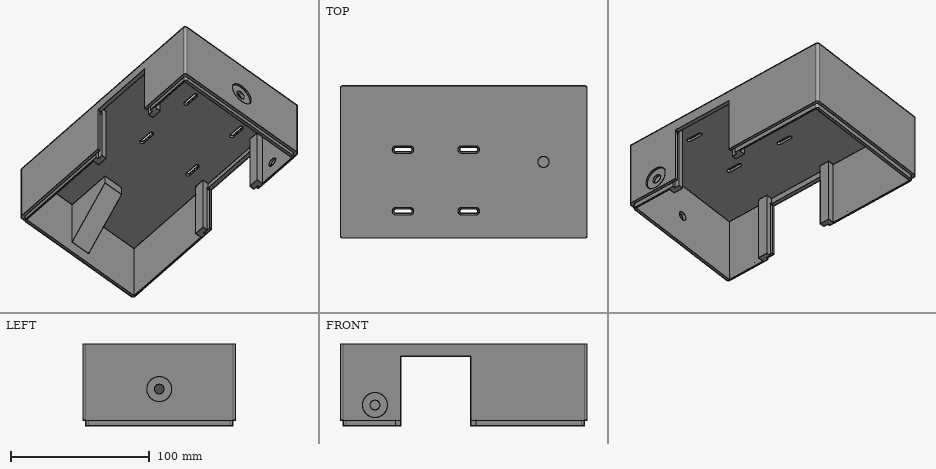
import cadquery as cq

LENGTH = 178.0
WIDTH = 110.06
HEIGHT = 59.0
WALL = 4.0
SIDE_WALL = 3.0
CORNER_RADIUS = 2.0

LIP_HEIGHT = 4.0
LIP_INSET = 2.0

NOTCH_LEFT = 43.7
NOTCH_WIDTH = 50.3
NOTCH_HEIGHT = 50.0
GROOVE_WIDTH = 2.0
GROOVE_DEPTH = 4.0
RAIL_THICKNESS = 4.0
RAIL_WIDTH = 2 * GROOVE_DEPTH

WALL_HOLE_DIAMETER = 7.0
RECESS_DIAMETER = 18.0
RECESS_DEPTH = 1.3
FRONT_HOLE_X = 25.0
FRONT_HOLE_Z = 15.0
END_HOLE_Z = 26.5

SLOT_TRAVEL = 10.0
SLOT_WIDTH = 3.0
COUNTERSINK = 1.25
SLOT_X = (45.2, 92.6)
SLOT_Y = (-35.5, 8.9)

BLIND_DIAMETER = 8.0
BLIND_DEPTH = 8.0
BLIND_X = 146.5
BRACKET_WIDTH = BLIND_DIAMETER + 2 * WALL


def box(x_range, y_range, z_range):
    """Box between the given pairs of limits."""
    size = [high - low for low, high in (x_range, y_range, z_range)]
    corner = (x_range[0], y_range[0], z_range[0])
    return cq.Workplane("XY").box(*size, centered=False).translate(corner)


def rounded_block(inset, bottom, top, radius):
    """Block following the outline of the cover, set in by the given amount."""
    block = box(
        (inset, LENGTH - inset),
        (inset - WIDTH / 2, WIDTH / 2 - inset),
        (bottom, top),
    )
    return block.edges("|Z").fillet(radius)


def shell():
    """Hollow cover with its locating lip."""
    body = rounded_block(0, LIP_HEIGHT, HEIGHT, CORNER_RADIUS)
    lip = rounded_block(LIP_INSET, 0, HEIGHT - WALL, CORNER_RADIUS)
    cavity = box(
        (WALL, LENGTH - WALL),
        (SIDE_WALL - WIDTH / 2, WIDTH / 2 - SIDE_WALL),
        (0, HEIGHT - WALL),
    )
    return body.union(lip).cut(cavity)


def rails():
    """Four rails inside the walls, one on each side of each opening."""
    wall_face = WIDTH / 2 - SIDE_WALL
    rail_face = WIDTH / 2 - LIP_INSET - GROOVE_WIDTH - RAIL_THICKNESS
    notch_right = NOTCH_LEFT + NOTCH_WIDTH
    y_ranges = (
        (-wall_face, -rail_face),
        (rail_face, wall_face),
    )
    solid = cq.Workplane("XY")
    for y_range in y_ranges:
        for left in (NOTCH_LEFT - RAIL_WIDTH, notch_right):
            solid = solid.union(box((left, left + RAIL_WIDTH), y_range, (0, HEIGHT - WALL)))
    return solid


def notch_and_grooves():
    """Opening through both walls and the panel grooves in its sides."""
    right = NOTCH_LEFT + NOTCH_WIDTH
    cutter = box((NOTCH_LEFT, right), (-WIDTH / 2, WIDTH / 2), (0, NOTCH_HEIGHT))
    groove_start = WIDTH / 2 - LIP_INSET
    for y_range in (
        (-groove_start, GROOVE_WIDTH - groove_start),
        (groove_start - GROOVE_WIDTH, groove_start),
    ):
        groove = box((NOTCH_LEFT - GROOVE_DEPTH, right + GROOVE_DEPTH), y_range, (0, NOTCH_HEIGHT))
        cutter = cutter.union(groove)
    return cutter


def recessed_hole(center, direction):
    """Cutter for a wall hole and its recess, going inward from the outer face."""
    start = cq.Vector(*center)
    inward = cq.Vector(*direction)
    hole = cq.Solid.makeCylinder(WALL_HOLE_DIAMETER / 2, WALL, start, inward)
    recess = cq.Solid.makeCylinder(RECESS_DIAMETER / 2, RECESS_DEPTH, start, inward)
    return cq.Workplane(hole.fuse(recess))


def countersunk_slot(x, y):
    """Cutter for one slot with 45 degree sides at the top."""
    top = cq.Workplane("XY").workplane(offset=HEIGHT).center(x, y)
    through = top.slot2D(SLOT_TRAVEL + SLOT_WIDTH, SLOT_WIDTH).extrude(-WALL)
    wide = SLOT_WIDTH + 2 * COUNTERSINK
    flare = top.slot2D(SLOT_TRAVEL + wide, wide).extrude(-COUNTERSINK, taper=45)
    return through.union(flare)


def bracket():
    """Wedge under the top plate that holds the blind hole."""
    left = BLIND_X - BRACKET_WIDTH / 2
    right = LENGTH - WALL
    plate_bottom = HEIGHT - WALL
    block_bottom = HEIGHT - BLIND_DEPTH - WALL
    return (
        cq.Workplane("XZ", origin=(0, BRACKET_WIDTH / 2, 0))
        .moveTo(left, plate_bottom)
        .lineTo(left, block_bottom)
        .lineTo(right, block_bottom - (right - left))
        .lineTo(right, plate_bottom)
        .close()
        .extrude(BRACKET_WIDTH)
    )


def blind_hole():
    """Cutter for the flat-bottomed hole in the top."""
    top = cq.Workplane("XY").workplane(offset=HEIGHT).center(BLIND_X, 0)
    return top.circle(BLIND_DIAMETER / 2).extrude(-BLIND_DEPTH)


result = shell().union(rails()).union(bracket())
result = result.cut(notch_and_grooves()).cut(blind_hole())
result = result.cut(recessed_hole((FRONT_HOLE_X, -WIDTH / 2, FRONT_HOLE_Z), (0, 1, 0)))
result = result.cut(recessed_hole((0, 0, END_HOLE_Z), (1, 0, 0)))
for slot_x in SLOT_X:
    for slot_y in SLOT_Y:
        result = result.cut(countersunk_slot(slot_x, slot_y))